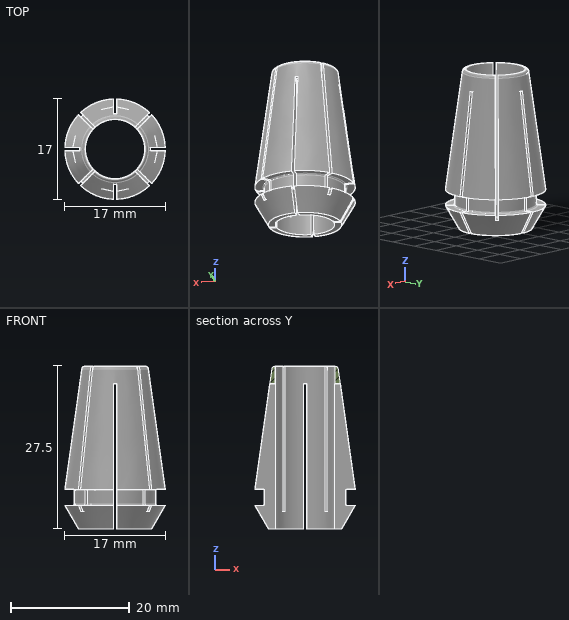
import cadquery as cq
import math

length = 27.5
max_radius = 8.5
bore_radius = 5.0

taper_angle = math.radians(8)
nose_angle = math.radians(30)

groove_bottom = 4.0
groove_top = 6.7
groove_radius = 6.9
groove_fillet = 0.2

rim_fillet = 0.5

slot_width = 0.5
slots_per_end = 4
slot_pitch = 360 / slots_per_end
lower_slot_top = 24.5
upper_slot_bottom = 3.0

nose_radius = max_radius - groove_bottom * math.tan(nose_angle)
top_radius = max_radius - (length - groove_top) * math.tan(taper_angle)


def cone_body():
    """Revolved outside shape with the groove, solid through the middle."""
    body = (
        cq.Workplane("XZ")
        .moveTo(0, 0)
        .lineTo(nose_radius, 0)
        .lineTo(max_radius, groove_bottom)
        .lineTo(groove_radius, groove_bottom)
        .lineTo(groove_radius, groove_top)
        .lineTo(max_radius, groove_top)
        .lineTo(top_radius, length)
        .lineTo(0, length)
        .close()
        .revolve(360, (0, 0), (0, 1))
    )
    body = body.faces(">Z").edges().fillet(rim_fillet)
    reach = groove_radius + groove_fillet
    groove_box = cq.selectors.BoxSelector(
        (-reach, -reach, groove_bottom - groove_fillet),
        (reach, reach, groove_top + groove_fillet),
        boundingbox=True,
    )
    return body.edges("%CIRCLE").edges(groove_box).fillet(groove_fillet)


def bore():
    """Plain cylindrical bore through the full length."""
    return cq.Workplane("XY").circle(bore_radius).extrude(length)


def saw_slots(bottom, top, first_angle):
    """Radial slots spaced evenly around the axis between two heights."""
    slots = cq.Workplane("XY")
    for index in range(slots_per_end):
        slot = (
            cq.Workplane("XY")
            .workplane(offset=bottom)
            .rect(max_radius, slot_width)
            .extrude(top - bottom)
            .translate((max_radius / 2, 0, 0))
            .rotate((0, 0, 0), (0, 0, 1), first_angle + index * slot_pitch)
        )
        slots = slots.add(slot)
    return slots.combine()


result = (
    cone_body()
    .cut(bore())
    .cut(saw_slots(0, lower_slot_top, 0))
    .cut(saw_slots(upper_slot_bottom, length, slot_pitch / 2))
)